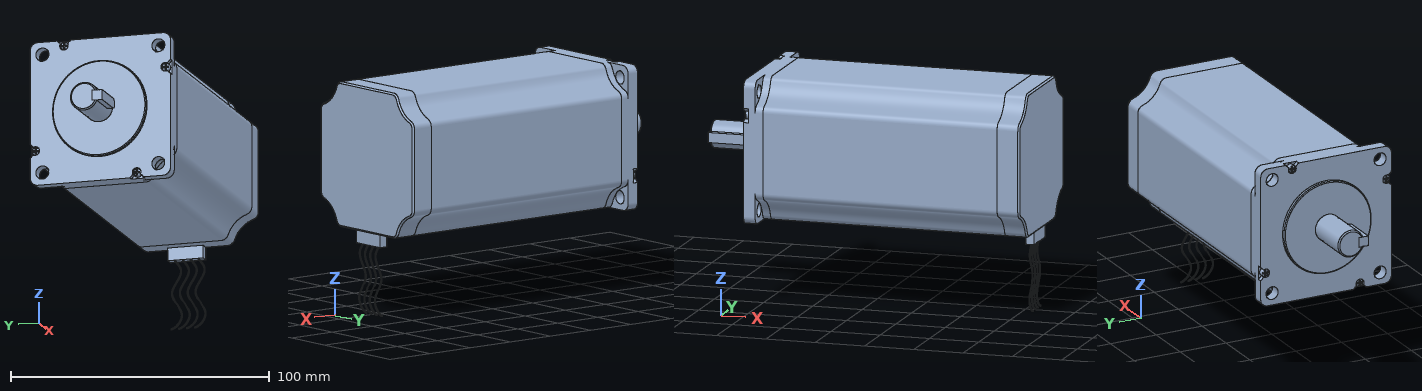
import cadquery as cq


total_length = 133.0
shaft_length = 21.0
frame_size = 57.0
half_frame = frame_size / 2
rear_x = total_length - shaft_length
flange_thickness = 4.8
flange_corner_radius = 3.0
front_cover_depth = 8.0
rear_cover_depth = 9.0
rear_cover_x = rear_x - rear_cover_depth
rear_chamfer = 0.7

scallop_radius = 12.0
scallop_offset = 1.7
scallop_edge_radius = 3.0

hole_spacing = 47.1
hole_diameter = 5.2
boss_diameter = 38.0
boss_height = 1.6
boss_chamfer = 0.4
shaft_diameter = 11.0
shaft_chamfer = 0.5

key_width = 4.0
key_height = 4.0
key_length = 16.0
key_reach = 7.5

screw_count = 4
screw_offset = 14.8
screw_inset = 2.1
notch_radius = 1.7
notch_depth = 2.0
notch_mouth = 5.6
screw_head_diameter = 3.2
screw_head_height = 1.7
screw_head_round = 0.7
cross_length = 2.1
cross_width = 0.5
cross_depth = 0.7

outlet_thickness = 3.5
outlet_width = 14.4
outlet_height = 5.0
outlet_rear_gap = 0.8
outlet_x = rear_x - outlet_rear_gap - outlet_thickness / 2
outlet_bottom_z = -half_frame - outlet_height
wire_count = 4
wire_spacing = 3.2
wire_diameter = 0.47
wire_course = [
    (0.3, -0.4),
    (-1.3, 1.5),
    (-2.4, 3.6),
    (1.2, 12.8),
    (-2.8, 22.2),
    (-1.9, 24.6),
    (1.6, 27.1),
]


def plane_at(x):
    """Plane across the shaft at x, with local axes +Y and +Z and its normal along +X."""
    return cq.Workplane(cq.Plane(origin=(x, 0, 0), xDir=(0, 1, 0), normal=(1, 0, 0)))


def frame_block(start_x, length):
    """Length of square frame with a rounded-edge scallop along each corner."""
    block = plane_at(start_x).rect(frame_size, frame_size).extrude(length)
    scallop_spacing = frame_size + 2 * scallop_offset
    scallops = (
        plane_at(start_x)
        .rect(scallop_spacing, scallop_spacing, forConstruction=True)
        .vertices()
        .circle(scallop_radius)
        .extrude(length)
    )
    return block.cut(scallops).edges("|X").fillet(scallop_edge_radius)


def make_flange():
    plate = plane_at(0).rect(frame_size, frame_size).extrude(flange_thickness)
    return plate.edges("|X").fillet(flange_corner_radius)


def mounting_holes():
    return (
        plane_at(0)
        .rect(hole_spacing, hole_spacing, forConstruction=True)
        .vertices()
        .circle(hole_diameter / 2)
        .extrude(flange_thickness)
    )


def make_boss():
    boss = plane_at(-boss_height).circle(boss_diameter / 2).extrude(boss_height)
    return boss.faces("<X").chamfer(boss_chamfer)


def make_shaft():
    shaft = plane_at(-shaft_length).circle(shaft_diameter / 2).extrude(shaft_length)
    return shaft.faces("<X").chamfer(shaft_chamfer)


def screw_notch():
    """Cutter for the notch in the top edge: a round pocket with a flared mouth."""
    axis_z = half_frame - screw_inset
    pocket = plane_at(0).center(screw_offset, axis_z).circle(notch_radius).extrude(notch_depth)
    half_mouth = notch_mouth / 2
    mouth = (
        plane_at(0)
        .center(screw_offset, half_frame)
        .polyline([(-half_mouth, 0), (half_mouth, 0), (0, -half_mouth)])
        .close()
        .extrude(notch_depth)
    )
    return pocket.union(mouth)


def screw_head():
    """Domed cross-recess screw head standing on the floor of the top notch."""
    head_x = notch_depth - screw_head_height
    axis_z = half_frame - screw_inset
    head = (
        plane_at(head_x)
        .center(screw_offset, axis_z)
        .circle(screw_head_diameter / 2)
        .extrude(screw_head_height)
        .faces("<X")
        .edges()
        .fillet(screw_head_round)
    )
    for slot_y, slot_z in [(cross_length, cross_width), (cross_width, cross_length)]:
        slot = plane_at(head_x).center(screw_offset, axis_z).rect(slot_y, slot_z).extrude(cross_depth)
        head = head.cut(slot)
    return head


def make_key():
    """Key with a square end at the shaft tip and a round inner end."""
    half_width = key_width / 2
    straight_end = key_length - half_width
    return (
        cq.Workplane("XZ", origin=(-shaft_length, -key_reach + key_height, 0))
        .moveTo(0, -half_width)
        .lineTo(straight_end, -half_width)
        .threePointArc((key_length, 0), (straight_end, half_width))
        .lineTo(0, half_width)
        .close()
        .extrude(key_height)
    )


def make_front_cover(key):
    """Flanged cover with its boss, screws and shaft; the shaft has a keyway that fits the key."""
    rim = frame_block(flange_thickness, front_cover_depth - flange_thickness)
    cover = make_flange().cut(mounting_holes()).union(rim)
    for number in range(screw_count):
        angle = number * 360 / screw_count
        notch = screw_notch().rotate((0, 0, 0), (1, 0, 0), angle)
        head = screw_head().rotate((0, 0, 0), (1, 0, 0), angle)
        cover = cover.cut(notch).union(head)
    return cover.union(make_boss()).union(make_shaft()).cut(key)


def make_stator():
    return frame_block(front_cover_depth, rear_cover_x - front_cover_depth)


def make_wire(y):
    """Wavy wire that leaves the underside of the outlet at y."""
    points = [(y + shift, outlet_bottom_z - drop) for shift, drop in wire_course]
    course = plane_at(outlet_x).spline(points)
    start = course.val().startPoint()
    direction = course.val().tangentAt(0)
    section = cq.Workplane(cq.Plane(origin=start, xDir=(1, 0, 0), normal=direction))
    return section.circle(wire_diameter / 2).sweep(course)


def make_rear_cover():
    """Rear cover with the cable outlet under it and the wires hanging from the outlet."""
    cover = frame_block(rear_cover_x, rear_cover_depth).faces(">X").chamfer(rear_chamfer)
    outlet_base = cq.Workplane("XY", origin=(outlet_x, 0, outlet_bottom_z))
    outlet = outlet_base.rect(outlet_thickness, outlet_width).extrude(outlet_height)
    cover = cover.union(outlet)
    for number in range(wire_count):
        y = (number - (wire_count - 1) / 2) * wire_spacing
        cover = cover.union(make_wire(y))
    return cover


key = make_key()
front_cover = make_front_cover(key)
stator = make_stator()
rear_cover = make_rear_cover()

result = cq.Compound.makeCompound([front_cover.val(), stator.val(), rear_cover.val(), key.val()])